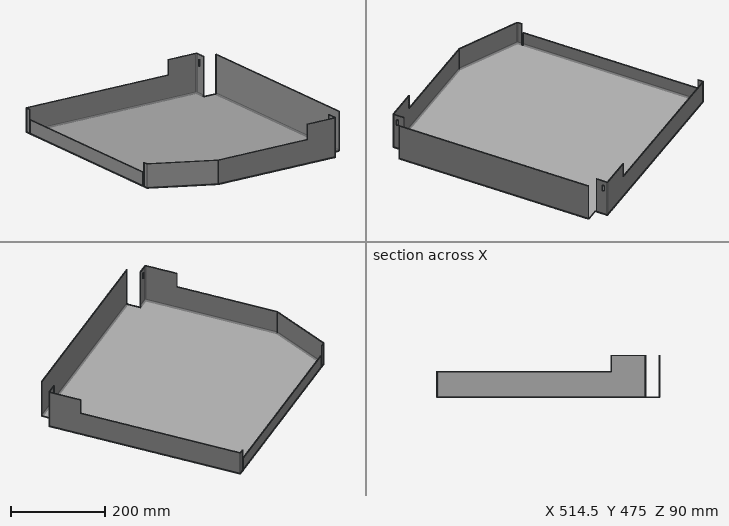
import cadquery as cq

WIDTH = 514.5
DEPTH = 475.0
HEIGHT = 90.0

SHEET = 1.5
BEND_OUTER = 2.5
BEND_INNER = BEND_OUTER - SHEET

TONGUE_DEPTH = 30.0
BODY_DEPTH = DEPTH - TONGUE_DEPTH
CHAMFER_X = 68.0
CHAMFER_Y = 138.5

SIDE_HEIGHT = 55.5
LIP_HEIGHT = 33.0
TALL_LENGTH = 74.0
TALL_START = BODY_DEPTH - TALL_LENGTH

BACK_INSET = 30.5
TAB_WIDTH = 27.0

SLOT_INSET = 11.0
SLOT_WIDTH = 5.0
SLOT_LENGTH = 15.0
SLOT_DROP = 19.0

LEFT_RETURN_END = 13.5
LIP_START = 15.5
LIP_END = 431.5
RIGHT_RETURN_START = 435.5


def block(x_min, x_max, y_min, y_max, z_min, z_max):
    """Box given by its limits along each axis."""
    size = (x_max - x_min, y_max - y_min, z_max - z_min)
    return cq.Workplane("XY").box(*size, centered=False).translate((x_min, y_min, z_min))


def body_block(inset, radius):
    """Solid tray body, drawn in from the outer faces and rounded at the bends."""
    outline = [
        (0, 0),
        (WIDTH - CHAMFER_X, 0),
        (WIDTH, CHAMFER_Y),
        (WIDTH, BODY_DEPTH),
        (0, BODY_DEPTH),
    ]
    body = cq.Workplane("XY").workplane(offset=inset).polyline(outline).close()
    if inset:
        body = body.offset2D(-inset, "intersection")
    body = body.extrude(HEIGHT - inset)
    bends = body.edges("|Z").filter(lambda edge: abs(edge.Center().y - CHAMFER_Y) > BEND_OUTER)
    return bends.fillet(radius).faces("<Z").edges().fillet(radius)


def body_shell():
    """Floor with a full-height wall all round."""
    return body_block(0, BEND_OUTER).cut(body_block(SHEET, BEND_INNER))


def trim_walls(body):
    """Lower the walls and open the gaps in the front and back walls."""
    body = body.cut(block(0, WIDTH, 0, TALL_START, SIDE_HEIGHT, HEIGHT))
    body = body.cut(block(LEFT_RETURN_END, RIGHT_RETURN_START, 0, BEND_OUTER, LIP_HEIGHT, HEIGHT))
    for start, end in ((LEFT_RETURN_END, LIP_START), (LIP_END, RIGHT_RETURN_START)):
        body = body.cut(block(start, end, 0, BEND_OUTER, 0, HEIGHT))
    return body.cut(
        block(TAB_WIDTH, WIDTH - TAB_WIDTH, BODY_DEPTH - BEND_OUTER, BODY_DEPTH, 0, HEIGHT)
    )


def back_wall():
    """Floor tongue that bends up into the back wall."""
    front = BODY_DEPTH - BEND_OUTER
    tongue = block(BACK_INSET, WIDTH - BACK_INSET, front, DEPTH, 0, HEIGHT)
    tongue = tongue.edges(">Y and <Z").fillet(BEND_OUTER)
    hollow = block(BACK_INSET, WIDTH - BACK_INSET, front, DEPTH - SHEET, SHEET, HEIGHT)
    return tongue.cut(hollow.edges(">Y and <Z").fillet(BEND_INNER))


def mounting_slots():
    """Upright slots through the two mounting tabs."""
    return (
        cq.Workplane("XZ", origin=(0, BODY_DEPTH, HEIGHT - SLOT_DROP))
        .pushPoints([(SLOT_INSET, 0), (WIDTH - SLOT_INSET, 0)])
        .slot2D(SLOT_LENGTH, SLOT_WIDTH, 90)
        .extrude(BEND_OUTER)
    )


result = trim_walls(body_shell()).cut(mounting_slots()).union(back_wall())